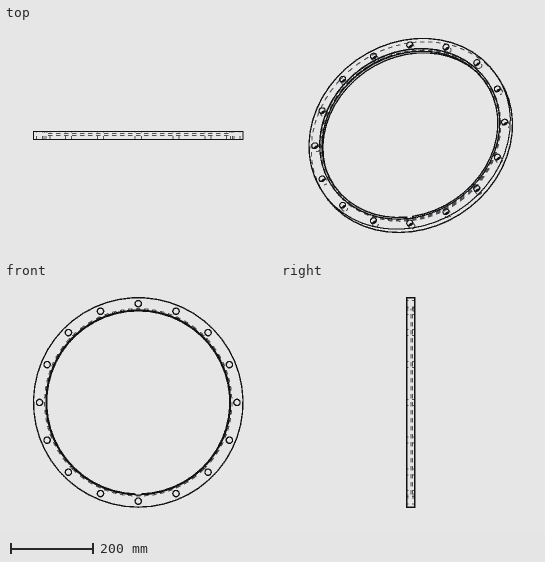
import cadquery as cq

outer_diameter = 510.0
flange_width = 30.0
thickness = 20.0
outer_radius = outer_diameter / 2
bore_radius = outer_radius - flange_width
front_y = -thickness / 2
rear_y = thickness / 2

bolt_count = 16
bolt_hole_diameter = 15.0
bolt_circle_radius = (outer_radius + bore_radius) / 2

rebate_length = thickness / 2
rebate_depth = 3.0
rebate_y = rear_y - rebate_length
rebate_radius = bore_radius + rebate_depth

wire_diameter = 5.5
wire_gap = 16.0
wire_radius = wire_diameter / 2
wire_ring_radius = rebate_radius - wire_radius
wire_y = rear_y - wire_radius

section_plane = cq.Plane(origin=(0, 0, 0), xDir=(0, 0, -1), normal=(1, 0, 0))


def revolve_about_y(section):
    """Turn a radial section a full circle about the Y axis."""
    return section.revolve(360, (0, 0, 0), (0, 1, 0))


def make_bolt_holes():
    """Cylinders that cut the circle of through holes, the first one on +X."""
    return (
        cq.Workplane("XZ", origin=(0, rear_y, 0))
        .polarArray(bolt_circle_radius, 0, 360, bolt_count)
        .circle(bolt_hole_diameter / 2)
        .extrude(thickness)
    )


def make_flange():
    """Flat ring with through holes and a rebate around the rear of its bore."""
    section = cq.Workplane(section_plane).polyline([
        (bore_radius, front_y),
        (outer_radius, front_y),
        (outer_radius, rear_y),
        (rebate_radius, rear_y),
        (rebate_radius, rebate_y),
        (bore_radius, rebate_y),
    ]).close()
    return revolve_about_y(section).cut(make_bolt_holes())


def make_wire_ring():
    """Round wire ring with a straight gap between its ends at the bottom (-Z)."""
    section = cq.Workplane(section_plane).moveTo(wire_ring_radius, wire_y).circle(wire_radius)
    gap_side = 2 * wire_diameter
    gap = cq.Workplane("XY").box(wire_gap, gap_side, gap_side).translate((0, wire_y, -wire_ring_radius))
    return revolve_about_y(section).cut(gap)


flange = make_flange()
wire_ring = make_wire_ring()

result = cq.Compound.makeCompound([flange.val(), wire_ring.val()])